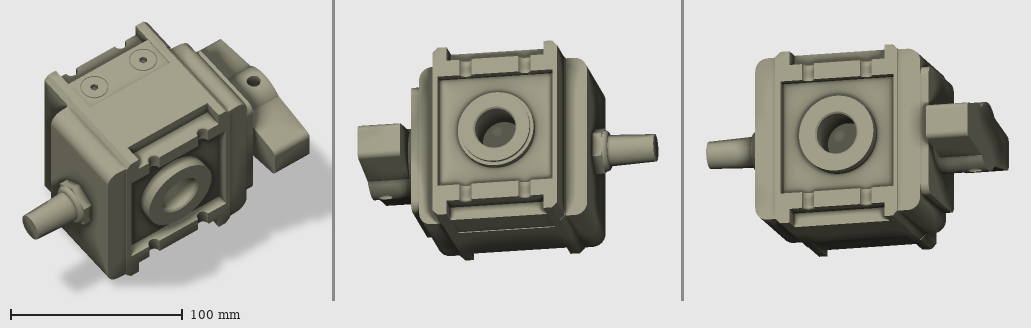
import cadquery as cq
import math


OVERALL_LENGTH = 168.3

BODY_LEFT = -53.0
BODY_RIGHT = 29.8
BLOCK_SPLIT = -30.0
BODY_HEIGHT = 103.0
BODY_DEPTH = 74.0
BODY_CHAMFER = 3.0
PORT_BLOCK_SHIFT = 0.2
MAIN_BLOCK_SHIFT = -0.3

COVER_FACE = 49.8
COVER_WIDTH = 57.9
COVER_HEIGHT = BODY_HEIGHT - 2 * BODY_CHAMFER
COVER_ROUND = 7.4
COVER_FACE_WIDTH = 56.5

RECESS_LENGTH = 57.4
RECESS_FLOOR = 43.3
LEFT_RECESS_WIDTH = 12.3
RIGHT_RECESS_WIDTH = 11.3
PLATE_RIGHT = -18.7
PLATE_DROP = 0.5

BOLT_SPACING = 35.0
NOTCH_DIAMETER = 7.0
NOTCH_BEVEL = 0.5
SCREW_X = BLOCK_SPLIT
SCREW_DIAMETER = 16.7
SCREW_HEAD_DIAMETER = 15.1
SCREW_GROOVE_DEPTH = 0.5
SOCKET_FLATS = 4.4
SOCKET_DEPTH = 2.5

POCKET_DEPTH = 6.7
POCKET_LENGTH = 68.2
POCKET_HEIGHT = 67.3
PORT_RING_DIAMETER = 45.0
PORT_FACE_DIAMETER = 40.9
LEFT_RING_HEIGHT = 6.7
RIGHT_RING_HEIGHT = 8.2
PORT_STEP = 2.0
PORT_BORE_DIAMETER = 24.0
PORT_MOUTH_DIAMETER = 26.0
PORT_BORE_DEPTH = 25.2

FLANGE_WIDTH = 55.5
FLANGE_HEIGHT = 76.7
FLANGE_ROUND = 5.9
FLANGE_TOP = 54.9
COLLAR_DIAMETER = 40.5
KNOB_BASE = 58.0
KNOB_TOP = 83.1
KNOB_HALF_LENGTH = 45.0
HUB_DIAMETER = 40.2
WING_ROOT_X = 14.0
WING_TIP_HALF_HEIGHT = 9.8
WING_ROUND = 3.4
LOCK_HOLE_DIAMETER = 8.0
LOCK_HOLE_Y = 75.2

HEX_FLATS = 24.0
HEX_END = -55.2
SHOULDER_END = -58.0
SHOULDER_ROUND = 2.5
STEM_END = KNOB_TOP - OVERALL_LENGTH
STEM_ROOT_DIAMETER = 18.3
STEM_TIP_DIAMETER = 16.0


def box(x_range, y_range, z_range):
    """Box between the given limits along each axis."""
    sizes = [high - low for low, high in (x_range, y_range, z_range)]
    corner = (x_range[0], y_range[0], z_range[0])
    return cq.Workplane("XY").box(*sizes, centered=False).translate(corner)


def x_disc(diameter, x_start, x_end):
    """Cylinder about the port axis."""
    return cq.Workplane("YZ", origin=(x_start, 0, 0)).circle(diameter / 2).extrude(x_end - x_start)


def along_y(y_start):
    """Workplane across the knob axis at the given Y, with local axes X and Z and its normal along -Y."""
    return cq.Workplane("XZ", origin=(0, y_start, 0))


def y_disc(diameter, y_start, y_end):
    """Cylinder about the knob axis."""
    return along_y(y_start).circle(diameter / 2).extrude(y_start - y_end)


def hexagon(plane, flats):
    """Hexagon with corners up and down on a workplane, sized across its flats."""
    corners = flats / math.cos(math.pi / 6)
    return plane.transformed(rotate=(0, 0, 90)).polygon(6, corners)


def body_block(x_start, x_end, y_shift):
    """Chamfered bar along X forming one half of the split body."""
    block = cq.Workplane("YZ", origin=(x_start, y_shift, 0)).rect(BODY_DEPTH, BODY_HEIGHT)
    return block.extrude(x_end - x_start).edges("|X").chamfer(BODY_CHAMFER)


def covers():
    """Both covers as one rounded bar whose sides taper towards the outer faces."""
    taper_y = BODY_DEPTH / 2 + MAIN_BLOCK_SHIFT
    outline = cq.Workplane("XY", origin=(0, 0, -COVER_HEIGHT / 2)).polyline([
        (COVER_WIDTH / 2, -taper_y),
        (COVER_WIDTH / 2, taper_y),
        (COVER_FACE_WIDTH / 2, COVER_FACE),
        (-COVER_FACE_WIDTH / 2, COVER_FACE),
        (-COVER_WIDTH / 2, taper_y),
        (-COVER_WIDTH / 2, -taper_y),
        (-COVER_FACE_WIDTH / 2, -COVER_FACE),
        (COVER_FACE_WIDTH / 2, -COVER_FACE),
    ]).close().extrude(COVER_HEIGHT)
    rounded = cq.Workplane("XY").box(COVER_WIDTH, 2 * COVER_FACE, COVER_HEIGHT)
    return outline.intersect(rounded.edges("|X").fillet(COVER_ROUND))


def clamp_recesses():
    """Edge recesses, the shallow plate recess and the bolt notches of the top and bottom."""
    y_range = (-RECESS_LENGTH / 2, RECESS_LENGTH / 2)
    top = BODY_HEIGHT / 2
    left_end = BODY_LEFT + LEFT_RECESS_WIDTH
    cut = box((BODY_LEFT, left_end), y_range, (RECESS_FLOOR, top))
    cut = cut.union(box((BODY_RIGHT - RIGHT_RECESS_WIDTH, BODY_RIGHT), y_range, (RECESS_FLOOR, top)))
    cut = cut.union(box((left_end, PLATE_RIGHT), y_range, (top - PLATE_DROP, top)))
    notch_depth = RECESS_FLOOR - POCKET_HEIGHT / 2
    notch_points = [
        (x, y)
        for x in (BODY_LEFT, BODY_RIGHT)
        for y in (-BOLT_SPACING / 2, BOLT_SPACING / 2)
    ]
    notches = cq.Workplane("XY", origin=(0, 0, RECESS_FLOOR)).pushPoints(notch_points)
    notches = notches.circle(NOTCH_DIAMETER / 2).extrude(-notch_depth)
    for x, y in notch_points:
        bevel = cq.Solid.makeCone(
            NOTCH_DIAMETER / 2 + NOTCH_BEVEL,
            NOTCH_DIAMETER / 2,
            NOTCH_BEVEL,
            pnt=cq.Vector(x, y, RECESS_FLOOR),
            dir=cq.Vector(0, 0, -1),
        )
        notches = notches.union(cq.Workplane(obj=bevel))
    cut = cut.union(notches)
    return cut.union(cut.mirror("XY"))


def screw_recesses():
    """Ring grooves and hex sockets of the two screws in the plate."""
    plate_z = BODY_HEIGHT / 2 - PLATE_DROP
    points = [(SCREW_X, -BOLT_SPACING / 2), (SCREW_X, BOLT_SPACING / 2)]
    plate = cq.Workplane("XY", origin=(0, 0, plate_z)).pushPoints(points)
    cut = plate.circle(SCREW_DIAMETER / 2).circle(SCREW_HEAD_DIAMETER / 2).extrude(-SCREW_GROOVE_DEPTH)
    for x, y in points:
        socket = hexagon(cq.Workplane("XY", origin=(x, y, plate_z)), SOCKET_FLATS)
        cut = cut.union(socket.extrude(-SOCKET_DEPTH))
    return cut


def add_port(body, face_x, outward, ring_height, step_height):
    """Pocket, ring and blind bore on the side whose outward direction along X is given.

    The end of the ring steps down to the smaller port face over the step height.
    """
    floor_x = face_x - outward * POCKET_DEPTH
    pocket = cq.Workplane("YZ", origin=(face_x, 0, 0)).rect(POCKET_LENGTH, POCKET_HEIGHT)
    mouth_x = floor_x + outward * ring_height
    step_x = mouth_x - outward * step_height
    bevel = (PORT_MOUTH_DIAMETER - PORT_BORE_DIAMETER) / 2
    bore = x_disc(PORT_BORE_DIAMETER, mouth_x, mouth_x - outward * PORT_BORE_DEPTH)
    mouth = cq.Workplane("YZ", origin=(mouth_x, 0, 0)).circle(PORT_MOUTH_DIAMETER / 2)
    mouth = mouth.workplane(offset=-outward * bevel).circle(PORT_BORE_DIAMETER / 2).loft()
    body = body.cut(pocket.extrude(-outward * POCKET_DEPTH))
    body = body.union(x_disc(PORT_RING_DIAMETER, floor_x, step_x))
    if step_height > 0:
        body = body.union(x_disc(PORT_FACE_DIAMETER, step_x, mouth_x))
    return body.cut(bore).cut(mouth)


def knob():
    """Mounting flange, collar and two-winged knob with its cross hole for a padlock."""
    flange = box(
        (-FLANGE_WIDTH / 2, FLANGE_WIDTH / 2),
        (COVER_FACE, FLANGE_TOP),
        (-FLANGE_HEIGHT / 2, FLANGE_HEIGHT / 2),
    ).edges("|Y").fillet(FLANGE_ROUND)
    collar = y_disc(COLLAR_DIAMETER, FLANGE_TOP, KNOB_BASE)
    hub = y_disc(HUB_DIAMETER, KNOB_BASE, KNOB_TOP)
    root_z = math.sqrt((HUB_DIAMETER / 2) ** 2 - WING_ROOT_X ** 2)
    wings = along_y(KNOB_BASE).polyline([
        (-KNOB_HALF_LENGTH, -WING_TIP_HALF_HEIGHT),
        (-WING_ROOT_X, -root_z),
        (WING_ROOT_X, -root_z),
        (KNOB_HALF_LENGTH, -WING_TIP_HALF_HEIGHT),
        (KNOB_HALF_LENGTH, WING_TIP_HALF_HEIGHT),
        (WING_ROOT_X, root_z),
        (-WING_ROOT_X, root_z),
        (-KNOB_HALF_LENGTH, WING_TIP_HALF_HEIGHT),
    ]).close().extrude(KNOB_BASE - KNOB_TOP)
    wings = wings.edges("|Y").edges("<X or >X").fillet(WING_ROUND)
    lock_hole = cq.Workplane("XY", origin=(0, LOCK_HOLE_Y, 0)).circle(LOCK_HOLE_DIAMETER / 2)
    lock_hole = lock_hole.extrude(HUB_DIAMETER / 2, both=True)
    return flange.union(collar).union(hub).union(wings).cut(lock_hole)


def drain_fitting():
    """Hex nut, rounded shoulder and tapered stem."""
    hex_nut = hexagon(along_y(-COVER_FACE), HEX_FLATS)
    hex_nut = hex_nut.extrude(-COVER_FACE - HEX_END)
    shoulder = y_disc(HEX_FLATS, HEX_END, SHOULDER_END).faces("<Y").edges().fillet(SHOULDER_ROUND)
    stem = along_y(SHOULDER_END).circle(STEM_ROOT_DIAMETER / 2)
    stem = stem.workplane(offset=SHOULDER_END - STEM_END).circle(STEM_TIP_DIAMETER / 2).loft()
    return hex_nut.union(shoulder).union(stem)


body = body_block(BODY_LEFT, BLOCK_SPLIT, PORT_BLOCK_SHIFT)
body = body.union(body_block(BLOCK_SPLIT, BODY_RIGHT, MAIN_BLOCK_SHIFT))
body = body.union(covers())
body = body.cut(clamp_recesses()).cut(screw_recesses())
body = add_port(body, BODY_LEFT, -1, LEFT_RING_HEIGHT, PORT_STEP)
body = add_port(body, BODY_RIGHT, 1, RIGHT_RING_HEIGHT, 0)
result = body.union(knob()).union(drain_fitting())